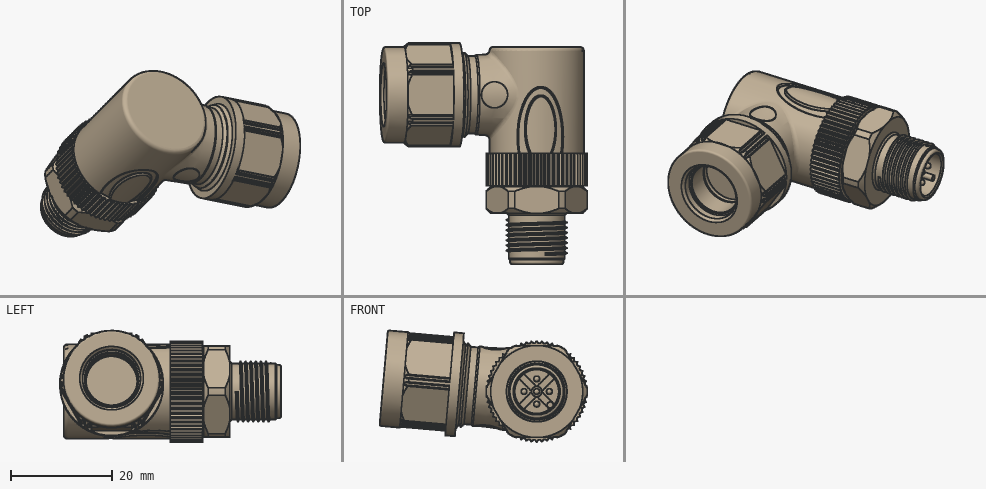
import cadquery as cq
import math

GLAND_TILT = 5

TOLERANCE = 0.05

BODY_RADIUS = 9.35
BODY_BACK = 9.5
BODY_EDGE_ROUND = 0.87
ARM_ROOT_RADIUS = 8.4
ARM_COLLAR_RADIUS = 7.9
ARM_COLLAR_START = 11.95
ARM_COLLAR_END = 12.3
ARM_BLEND = 0.87

MARK_RADIUS = 2.6
MARK_OFFSET = 9.05
MARK_DEPTH = 0.15

LABEL_DEPTH = 0.4
LABEL_BEVEL = 0.3
LABEL_CENTER = -8.3
LABEL_HALF_WIDTH = 4.33
LABEL_HALF_LENGTH = 9.6
PAD_CENTER = -6.8
PAD_HALF_WIDTH = 3.15
PAD_HALF_LENGTH = 6.77

NECK_RADIUS = 7.7
ORING_RADIUS = 8.35
ORING_CENTER = 14.35
ORING_INNER_WIDTH = 0.6
ORING_OUTER_WIDTH = 0.45
WASHER_RADIUS = 8.75
WASHER_TIP_RADIUS = 7.9
NUT_START = 15.3
NUT_RING_END = 17.25
NUT_HEX_END = 26.3
NUT_HEX_CHAMFER = 0.95
NUT_END = 30.33
NUT_RADIUS = 10.23
NUT_FACE_RADIUS = 9.5
NUT_EDGE_ROUND = 0.45
NUT_APOTHEM = 9.3
RIB_HALF_WIDTH = 0.3
GRIP_HALF_WIDTH = 1.2
GRIP_ROOT_RADIUS = 9.6
CABLE_MOUTH_RADIUS = 6.3
CABLE_SEAT_RADIUS = 5.72
CABLE_SEAT_DEPTH = 2.1
CABLE_BORE_RADIUS = 5.15
CABLE_BORE_CHAMFER = 0.17
CABLE_BORE_DEPTH = 6.9
CABLE_END_RADIUS = 5.03
CABLE_END_DEPTH = 8.1

KNURL_START = 11.55
KNURL_END = 17.95
KNURL_RADIUS = 9.95
KNURL_DEPTH = 0.4
KNURL_TEETH = 60
KNURL_FLANK = 0.35
COLLAR_RADIUS = 8.75
HEX_START = 18.15
HEX_END = 23.35
HEX_APOTHEM = 9.0
HEX_CORNER_RADIUS = 10.0
HEX_CHAMFER = 0.9

PLUG_END = 33.47
SHANK_RADIUS = 5.55
SHANK_END = 32.3
SHANK_BASE_ROUND = 0.4
TIP_RADIUS = 5.3
TIP_ROUND = 0.5
THREAD_RADIUS = 6.0
THREAD_PITCH = 1.0
THREAD_START = 24.7
THREAD_TURNS = 6.7
THREAD_BASE_WIDTH = 0.7
THREAD_ROOT_OVERLAP = 0.17
SOCKET_RADIUS = 4.33
SOCKET_CHAMFER = 0.3
SOCKET_DEPTH = 7.85
CROSS_GROOVE_WIDTH = 1.35
CROSS_GROOVE_DEPTH = 0.2
CENTER_BOSS_RADIUS = 1.0
PIN_RADIUS = 0.55
PIN_TIP_ROUND = 0.52
PIN_OFFSET = 2.5
PIN_RECESS = 1.7
KEY_RECESS = 1.15
KEY_RADIUS = 0.6
KEY_OFFSET = 3.75


def turned_on_plug(points):
    """Solid of revolution from (distance along -Y, radius) points."""
    profile = [(radius, -distance) for distance, radius in points]
    return cq.Workplane("XY").polyline(profile).close().revolve(360, (0, 0, 0), (0, 1, 0))


def turned_on_gland(points):
    """Solid of revolution from (distance along -X, radius) points."""
    profile = [(-distance, radius) for distance, radius in points]
    return cq.Workplane("XY").polyline(profile).close().revolve(360, (0, 0, 0), (1, 0, 0))


def across_plug(distance):
    """Sketch plane square to the plug axis, facing -Y."""
    return cq.Workplane("XZ", origin=(0, -distance, 0))


def across_gland(distance):
    """Sketch plane square to the gland axis, facing -X, with local Y along +Z."""
    return cq.Workplane(cq.Plane((-distance, 0, 0), xDir=(0, -1, 0), normal=(-1, 0, 0)))


def arm_radius(distance):
    taper = (ARM_ROOT_RADIUS - ARM_COLLAR_RADIUS) / ARM_COLLAR_START
    return ARM_ROOT_RADIUS - taper * distance


def elbow():
    barrel_length = BODY_BACK + KNURL_START
    barrel = across_plug(-BODY_BACK).circle(BODY_RADIUS).extrude(barrel_length)
    barrel = barrel.faces(">Y").edges().fillet(BODY_EDGE_ROUND)
    arm = turned_on_gland([
        (0, 0),
        (0, ARM_ROOT_RADIUS),
        (ARM_COLLAR_START, ARM_COLLAR_RADIUS),
        (ARM_COLLAR_END, NECK_RADIUS),
        (ARM_COLLAR_END, 0),
    ])
    body = barrel.union(arm)
    near_corner = (-BODY_RADIUS, -BODY_RADIUS, -BODY_RADIUS)
    far_corner = (0, BODY_RADIUS, BODY_RADIUS)
    seam = body.edges(cq.selectors.BoxSelector(near_corner, far_corner)).edges("not #Y")
    return seam.fillet(ARM_BLEND)


def arm_mark():
    """Shallow round recess that follows the arm surface."""
    plug = cq.Workplane("XY").center(-MARK_OFFSET, 0).circle(MARK_RADIUS).extrude(BODY_RADIUS)
    first = MARK_OFFSET - MARK_RADIUS
    last = MARK_OFFSET + MARK_RADIUS
    core = turned_on_gland([
        (first, 0),
        (first, arm_radius(first) - MARK_DEPTH),
        (last, arm_radius(last) - MARK_DEPTH),
        (last, 0),
    ])
    return plug.cut(core)


def label_groove():
    """Groove between two ovals, with a floor concentric with the barrel."""
    floor = BODY_RADIUS - LABEL_DEPTH
    low = math.sqrt(floor ** 2 - LABEL_HALF_WIDTH ** 2) - 0.45
    height = BODY_RADIUS - low
    oval = cq.Workplane("XY", origin=(0, LABEL_CENTER, low))
    oval = oval.ellipse(LABEL_HALF_WIDTH, LABEL_HALF_LENGTH).extrude(height)
    pad = cq.Workplane("XY", origin=(0, PAD_CENTER, low))
    pad = pad.ellipse(PAD_HALF_WIDTH, PAD_HALF_LENGTH).extrude(height)
    length = 2 * LABEL_HALF_LENGTH
    core = across_plug(-BODY_BACK).circle(floor).extrude(BODY_BACK + length)
    return oval.cut(pad).cut(core)


def bevel_label(body):
    """Break the sharp rims where the label grooves meet the barrel surface."""
    rims = []
    front_limit = -KNURL_START - TOLERANCE
    back_limit = LABEL_CENTER + LABEL_HALF_LENGTH + TOLERANCE
    side_limit = LABEL_HALF_WIDTH + TOLERANCE
    for edge in body.edges().vals():
        box = edge.BoundingBox()
        inside_width = max(-box.xmin, box.xmax) < side_limit
        inside_length = front_limit < box.ymin and box.ymax < back_limit
        runs_lengthwise = box.ylen > TOLERANCE
        middle = edge.positionAt(0.5)
        on_surface = math.hypot(middle.x, middle.z) > BODY_RADIUS - TOLERANCE
        if inside_width and inside_length and runs_lengthwise and on_surface:
            rims.append(edge)
    return body.newObject(rims).chamfer(LABEL_BEVEL)


def gland_neck():
    return turned_on_gland([
        (ARM_COLLAR_START, 0),
        (ARM_COLLAR_START, NECK_RADIUS),
        (ORING_CENTER - ORING_INNER_WIDTH, NECK_RADIUS),
        (ORING_CENTER, ORING_RADIUS),
        (ORING_CENTER + ORING_OUTER_WIDTH, NECK_RADIUS),
        (ORING_CENTER + ORING_OUTER_WIDTH, WASHER_TIP_RADIUS),
        (NUT_START, WASHER_RADIUS),
        (NUT_START, 0),
    ])


def gland_nut():
    nut = turned_on_gland([
        (NUT_START, 0),
        (NUT_START, NUT_RADIUS),
        (NUT_HEX_END - NUT_HEX_CHAMFER, NUT_RADIUS),
        (NUT_HEX_END, NUT_FACE_RADIUS),
        (NUT_END, NUT_FACE_RADIUS),
        (NUT_END, 0),
    ])
    nut = nut.faces("<X").edges().fillet(NUT_EDGE_ROUND)

    grip_length = NUT_HEX_END - NUT_RING_END
    flat_cutter = across_gland(NUT_RING_END).rect(2 * NUT_RADIUS, 2 * (NUT_RADIUS - NUT_APOTHEM))
    flat_cutter = flat_cutter.extrude(grip_length).translate((0, 0, NUT_RADIUS))
    middle = (RIB_HALF_WIDTH + GRIP_HALF_WIDTH) / 2
    quarter = (GRIP_HALF_WIDTH - RIB_HALF_WIDTH) / 4
    for index in range(6):
        angle = 60 * index
        nut = nut.cut(flat_cutter.rotate((0, 0, 0), (1, 0, 0), angle))
        for side in (-1, 1):
            groove = across_gland(NUT_RING_END).polyline([
                (side * RIB_HALF_WIDTH, NUT_RADIUS + 0.45),
                (side * RIB_HALF_WIDTH, NUT_RADIUS - RIB_HALF_WIDTH),
                (side * (middle - quarter), GRIP_ROOT_RADIUS),
                (side * (middle + quarter), GRIP_ROOT_RADIUS),
                (side * GRIP_HALF_WIDTH, NUT_RADIUS - RIB_HALF_WIDTH),
                (side * GRIP_HALF_WIDTH, NUT_RADIUS + 0.45),
            ]).close().extrude(grip_length)
            nut = nut.cut(groove.rotate((0, 0, 0), (1, 0, 0), angle + 30))

    mouth_depth = CABLE_MOUTH_RADIUS - CABLE_SEAT_RADIUS
    end_step = CABLE_BORE_RADIUS - CABLE_END_RADIUS
    bore = turned_on_gland([
        (NUT_END, 0),
        (NUT_END, CABLE_MOUTH_RADIUS),
        (NUT_END - mouth_depth, CABLE_SEAT_RADIUS),
        (NUT_END - CABLE_SEAT_DEPTH, CABLE_SEAT_RADIUS),
        (NUT_END - CABLE_SEAT_DEPTH, CABLE_BORE_RADIUS + CABLE_BORE_CHAMFER),
        (NUT_END - CABLE_SEAT_DEPTH - CABLE_BORE_CHAMFER, CABLE_BORE_RADIUS),
        (NUT_END - CABLE_BORE_DEPTH, CABLE_BORE_RADIUS),
        (NUT_END - CABLE_BORE_DEPTH - end_step, CABLE_END_RADIUS),
        (NUT_END - CABLE_END_DEPTH, CABLE_END_RADIUS),
        (NUT_END - CABLE_END_DEPTH, 0),
    ])
    return nut.cut(bore)


def knurled_ring():
    root_radius = KNURL_RADIUS - KNURL_DEPTH
    outline = []
    for tooth in range(KNURL_TEETH):
        for step, radius in ((0, KNURL_RADIUS), (KNURL_FLANK, root_radius), (1 - KNURL_FLANK, root_radius)):
            angle = 2 * math.pi * (tooth + step) / KNURL_TEETH
            outline.append((radius * math.cos(angle), radius * math.sin(angle)))
    return across_plug(KNURL_START).polyline(outline).close().extrude(KNURL_END - KNURL_START)


def hexagon_nut():
    collar = across_plug(KNURL_END).circle(COLLAR_RADIUS).extrude(HEX_START - KNURL_END)
    sharp_diameter = 2 * HEX_APOTHEM / math.cos(math.pi / 6)
    hexagon = across_plug(HEX_START).polygon(6, sharp_diameter).extrude(HEX_END - HEX_START)
    envelope = across_plug(HEX_START).circle(HEX_CORNER_RADIUS).extrude(HEX_END - HEX_START)
    envelope = envelope.edges().chamfer(HEX_CHAMFER)
    return collar.union(hexagon.intersect(envelope))


def thread():
    helix = cq.Wire.makeHelix(THREAD_PITCH, THREAD_PITCH * THREAD_TURNS, SHANK_RADIUS)
    ridge = cq.Workplane("XZ").polyline([
        (SHANK_RADIUS - THREAD_ROOT_OVERLAP, -THREAD_BASE_WIDTH / 2),
        (THREAD_RADIUS, 0),
        (SHANK_RADIUS - THREAD_ROOT_OVERLAP, THREAD_BASE_WIDTH / 2),
    ]).close().sweep(cq.Workplane(helix), isFrenet=True)
    ridge = ridge.rotate((0, 0, 0), (0, 0, 1), 180).rotate((0, 0, 0), (1, 0, 0), 90)
    return ridge.translate((0, -THREAD_START, 0))


def plug_shell():
    shell = turned_on_plug([
        (HEX_END, 0),
        (HEX_END, SHANK_RADIUS + SHANK_BASE_ROUND),
        (HEX_END + SHANK_BASE_ROUND, SHANK_RADIUS),
        (SHANK_END, SHANK_RADIUS),
        (SHANK_END + SHANK_RADIUS - TIP_RADIUS, TIP_RADIUS),
        (PLUG_END, TIP_RADIUS),
        (PLUG_END, 0),
    ])
    shell = shell.faces("<Y").edges().fillet(TIP_ROUND)
    return shell.union(thread())


def plug_socket():
    return turned_on_plug([
        (PLUG_END, 0),
        (PLUG_END, SOCKET_RADIUS + SOCKET_CHAMFER),
        (PLUG_END - SOCKET_CHAMFER, SOCKET_RADIUS),
        (PLUG_END - SOCKET_DEPTH, SOCKET_RADIUS),
        (PLUG_END - SOCKET_DEPTH, 0),
    ])


def cross_groove():
    """Two crossing grooves in the socket floor, interrupted by the central boss."""
    floor = PLUG_END - SOCKET_DEPTH
    plane = across_plug(floor - CROSS_GROOVE_DEPTH)
    groove = plane.rect(2 * SOCKET_RADIUS, CROSS_GROOVE_WIDTH).extrude(CROSS_GROOVE_DEPTH)
    crossing = groove.union(groove.rotate((0, 0, 0), (0, 1, 0), 90))
    crossing = crossing.intersect(plane.circle(SOCKET_RADIUS).extrude(CROSS_GROOVE_DEPTH))
    crossing = crossing.rotate((0, 0, 0), (0, 1, 0), 45)
    return crossing.cut(plane.circle(CENTER_BOSS_RADIUS).extrude(CROSS_GROOVE_DEPTH))


def socket_contents():
    """Five contact pins and the coding key on the socket wall."""
    floor = PLUG_END - SOCKET_DEPTH
    base = floor - 2 * CROSS_GROOVE_DEPTH
    centers = [(0, 0), (PIN_OFFSET, 0), (-PIN_OFFSET, 0), (0, PIN_OFFSET), (0, -PIN_OFFSET)]
    pins = across_plug(base).pushPoints(centers).circle(PIN_RADIUS)
    pins = pins.extrude(PLUG_END - PIN_RECESS - base).faces("<Y").edges().fillet(PIN_TIP_ROUND)
    key_reach = KEY_OFFSET / math.sqrt(2)
    key = across_plug(base).center(key_reach, -key_reach).circle(KEY_RADIUS)
    return pins.union(key.extrude(PLUG_END - KEY_RECESS - base))


def mirrored_cut(body, cutter):
    """Cut the same recess above and below the body."""
    return body.cut(cutter).cut(cutter.mirror("XY"))


housing = mirrored_cut(elbow(), label_groove())
housing = bevel_label(housing)
housing = mirrored_cut(housing, arm_mark())
housing = housing.union(gland_neck()).union(gland_nut())
housing = housing.rotate((0, 0, 0), (0, 1, 0), GLAND_TILT)

plug = knurled_ring().union(hexagon_nut()).union(plug_shell())
plug = plug.cut(plug_socket()).cut(cross_groove()).union(socket_contents())

result = housing.union(plug)